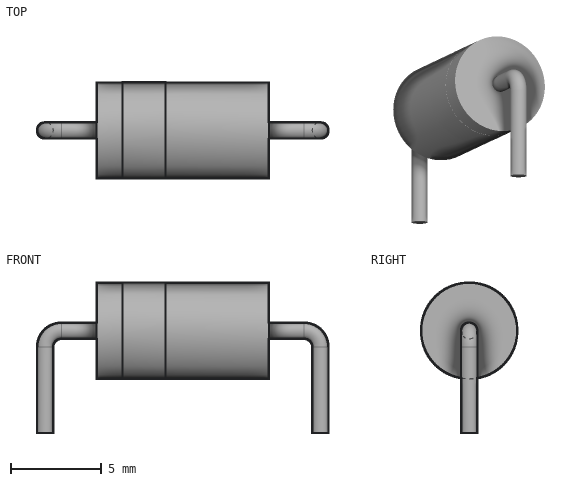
import cadquery as cq

overall_length = 16.14
body_length = 9.52
body_diameter = 5.33
band_diameter = 5.35
band_offset = 1.42
band_width = 2.39
wire_diameter = 0.9
bend_radius = wire_diameter
overall_height = 8.35

lead_x = (overall_length - wire_diameter) / 2
lead_bottom = band_diameter / 2 - overall_height


def cylinder_along_x(start_x, length, diameter):
    return cq.Workplane("YZ", origin=(start_x, 0, 0)).circle(diameter / 2).extrude(length)


def bent_lead(side):
    """Lead starting at the body centre; side is -1 for the -X lead, +1 for the +X lead."""
    path = (
        cq.Workplane("XZ")
        .lineTo(side * (lead_x - bend_radius), 0)
        .tangentArcPoint((side * lead_x, -bend_radius), relative=False)
        .lineTo(side * lead_x, lead_bottom)
    )
    return cq.Workplane("YZ").circle(wire_diameter / 2).sweep(path)


body = cylinder_along_x(-body_length / 2, body_length, body_diameter)
band = cylinder_along_x(-body_length / 2 + band_offset, band_width, band_diameter)

result = body.union(band)
for side in (-1, 1):
    result = result.union(bent_lead(side))